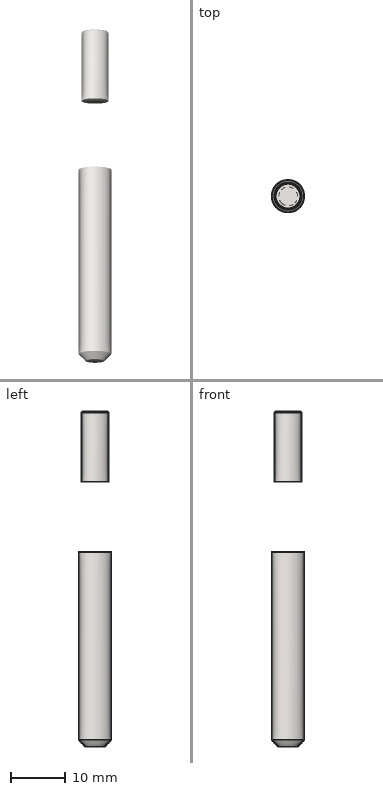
import cadquery as cq

TOTAL_HEIGHT = 62.0
ROD_DIAMETER = 6.0
ROD_LENGTH = 36.0
ROD_TIP_DIAMETER = 3.5
ROD_TAPER_LENGTH = 1.3
PIN_DIAMETER = 5.0
PIN_LENGTH = 13.0
PIN_RIM_CHAMFER = 0.25

ROD_RADIUS = ROD_DIAMETER / 2
ROD_TIP_RADIUS = ROD_TIP_DIAMETER / 2
PIN_BASE_Z = TOTAL_HEIGHT - PIN_LENGTH


def make_rod():
    """Plain rod standing on z = 0 with a tapered lower tip."""
    return (
        cq.Workplane("XZ")
        .moveTo(0, 0)
        .lineTo(ROD_TIP_RADIUS, 0)
        .lineTo(ROD_RADIUS, ROD_TAPER_LENGTH)
        .lineTo(ROD_RADIUS, ROD_LENGTH)
        .lineTo(0, ROD_LENGTH)
        .close()
        .revolve(360, (0, 0, 0), (0, 1, 0))
    )


def make_pin():
    """Short pin above the rod, on the same axis, with a chamfered upper rim."""
    return (
        cq.Workplane("XY", origin=(0, 0, PIN_BASE_Z))
        .circle(PIN_DIAMETER / 2)
        .extrude(PIN_LENGTH)
        .faces(">Z")
        .chamfer(PIN_RIM_CHAMFER)
    )


rod = make_rod()
pin = make_pin()
result = cq.Compound.makeCompound([rod.val(), pin.val()])